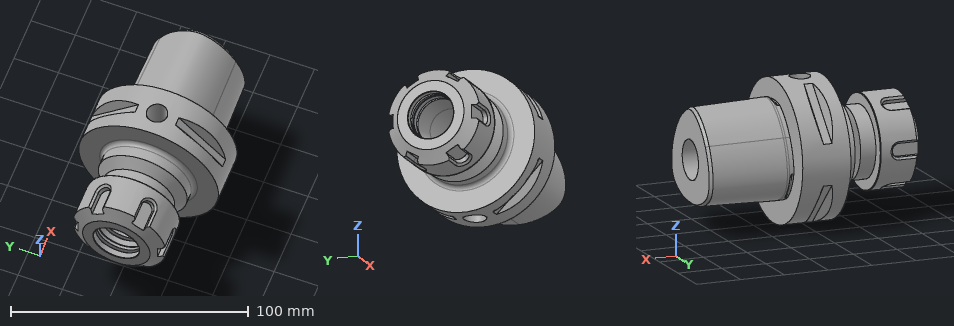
import cadquery as cq
import math

NOSE_X = -60.0
NUT_BACK_X = -40.0
NECK_END_X = -33.0
SHOULDER_END_X = -28.8
FLANGE_WIDTH = 22.0
FLANGE_FRONT_X = -FLANGE_WIDTH
SHANK_LENGTH = 38.0

NUT_DIAMETER = 42.0
NOSE_DIAMETER = 30.38
NOSE_CONE_ANGLE = 60.0
NUT_BACK_CHAMFER = 0.3
WRENCH_SLOT_COUNT = 6
WRENCH_SLOT_WIDTH = 6.0
WRENCH_SLOT_FLOOR = 17.9
WRENCH_SLOT_CENTER_X = NOSE_X + 11.2
WRENCH_SLOT_CHAMFER = 1.0
FIRST_WRENCH_SLOT_ANGLE = 90.0
RIM_BAND = 0.5
RIM_MARGIN = 0.1

NECK_DIAMETER = 32.0
COLLAR_DIAMETER = 40.0
COLLAR_FILLET = 2.0

FLANGE_DIAMETER = 63.0
GRIP_SLOT_COUNT = 4
GRIP_SLOT_FLOOR = 27.75
GRIP_SLOT_FLOOR_WIDTH = 3.8
GRIP_SLOT_WALL_ANGLE = 28.0
FIRST_GRIP_SLOT_ANGLE = 45.0
GRIP_CENTER_X = -12.0
UPPER_HOLE_DIAMETER = 9.0
LOWER_HOLE_DIAMETER = 10.0
HOLE_FLOOR_DIAMETER = 25.75
HOLE_FLOOR_START_X = -15.8
HOLE_FLOOR_CHAMFER = 0.7

SHANK_DIAMETER = 44.0
LOBE_COUNT = 3
LOBE_HEIGHT = 1.55
CURVE_STEPS = 12
SHANK_TAPER = 1 / 20
STRAIGHT_LENGTH = 2.0
TAPER_START_X = 3.0
END_CHAMFER_LENGTH = 1.4
END_CHAMFER_DEPTH = 0.9
UNDERCUT_RADIUS = 22.5
UNDERCUT_FLAT_LENGTH = 0.9
UNDERCUT_ARC_RADIUS = 1.1

MOUTH_DIAMETER = 20.7
MOUTH_CHAMFER = 0.2
BORE_STEP_START = 5.8
BORE_STEP_LENGTH = 0.2
SEAT_CONE_ANGLE = 8.0
SEAT_DIAMETER = 20.3
SEAT_START = 10.3
BORE_DIAMETER = 17.5
BORE_GROOVES = [(2.9, 4.4, 25.75), (8.9, 10.3, 25.75)]


def cylinder(diameter, start_x, end_x):
    return cq.Workplane("YZ", origin=(start_x, 0, 0)).circle(diameter / 2).extrude(end_x - start_x)


def revolve_about_x(profile):
    return profile.close().revolve(360, (0, 0, 0), (1, 0, 0))


def is_slot_rim(edge, start_x, end_x):
    """Tell whether an edge lies near the nut's barrel, strictly between two axial stations."""
    middle = edge.Center()
    distance = math.hypot(middle.y, middle.z)
    return start_x < middle.x - RIM_MARGIN and middle.x < end_x and distance > NUT_DIAMETER / 2 - RIM_BAND


def make_nut():
    radius = NUT_DIAMETER / 2
    nose_radius = NOSE_DIAMETER / 2
    cone_length = (radius - nose_radius) / math.tan(math.radians(NOSE_CONE_ANGLE))
    nut = revolve_about_x(
        cq.Workplane("XY")
        .moveTo(NOSE_X, 0)
        .lineTo(NOSE_X, nose_radius)
        .lineTo(NOSE_X + cone_length, radius)
        .lineTo(NUT_BACK_X - NUT_BACK_CHAMFER, radius)
        .lineTo(NUT_BACK_X, radius - NUT_BACK_CHAMFER)
        .lineTo(NUT_BACK_X, 0)
    )
    slot_front = NOSE_X - WRENCH_SLOT_WIDTH
    slot_end = WRENCH_SLOT_CENTER_X + WRENCH_SLOT_WIDTH / 2
    slot_length = WRENCH_SLOT_CENTER_X - slot_front
    slot = (
        cq.Workplane("XY", origin=(0, 0, WRENCH_SLOT_FLOOR))
        .center(slot_front + slot_length / 2, 0)
        .slot2D(slot_length + WRENCH_SLOT_WIDTH, WRENCH_SLOT_WIDTH)
        .extrude(radius)
    )
    for index in range(WRENCH_SLOT_COUNT):
        angle = FIRST_WRENCH_SLOT_ANGLE + index * 360 / WRENCH_SLOT_COUNT
        nut = nut.cut(slot.rotate((0, 0, 0), (1, 0, 0), angle))
    rims = nut.edges().filter(lambda edge: is_slot_rim(edge, NOSE_X + cone_length, slot_end))
    return rims.chamfer(WRENCH_SLOT_CHAMFER)


def make_front_body():
    neck_radius = NECK_DIAMETER / 2
    collar_radius = COLLAR_DIAMETER / 2
    fillet_start_x = FLANGE_FRONT_X - COLLAR_FILLET
    diagonal = COLLAR_FILLET * math.sqrt(0.5)
    return revolve_about_x(
        cq.Workplane("XY")
        .moveTo(NUT_BACK_X, 0)
        .lineTo(NUT_BACK_X, neck_radius)
        .lineTo(NECK_END_X, neck_radius)
        .lineTo(SHOULDER_END_X, collar_radius)
        .lineTo(fillet_start_x, collar_radius)
        .threePointArc(
            (fillet_start_x + diagonal, collar_radius + COLLAR_FILLET - diagonal),
            (FLANGE_FRONT_X, collar_radius + COLLAR_FILLET),
        )
        .lineTo(FLANGE_FRONT_X, 0)
    )


def make_flange():
    flange = cylinder(FLANGE_DIAMETER, FLANGE_FRONT_X, 0)
    top = FLANGE_DIAMETER / 2
    floor_half = GRIP_SLOT_FLOOR_WIDTH / 2
    top_half = floor_half + (top - GRIP_SLOT_FLOOR) * math.tan(math.radians(GRIP_SLOT_WALL_ANGLE))
    slot = (
        cq.Workplane("XZ", origin=(GRIP_CENTER_X, 0, 0))
        .moveTo(-floor_half, GRIP_SLOT_FLOOR)
        .lineTo(floor_half, GRIP_SLOT_FLOOR)
        .lineTo(top_half, top)
        .lineTo(-top_half, top)
        .close()
        .extrude(FLANGE_DIAMETER / 2, both=True)
    )
    for index in range(GRIP_SLOT_COUNT):
        angle = FIRST_GRIP_SLOT_ANGLE + index * 360 / GRIP_SLOT_COUNT
        flange = flange.cut(slot.rotate((0, 0, 0), (1, 0, 0), angle))
    return flange.cut(make_radial_holes())


def make_radial_holes():
    """Holes toward +Z and -Z, ending on a cylinder about X that is bevelled at its front end."""
    floor = cylinder(HOLE_FLOOR_DIAMETER, HOLE_FLOOR_START_X - HOLE_FLOOR_CHAMFER, 0)
    floor = floor.faces("<X").chamfer(HOLE_FLOOR_CHAMFER)
    reach = FLANGE_DIAMETER / 2
    center = cq.Workplane("XY", origin=(GRIP_CENTER_X, 0, 0))
    upper = center.circle(UPPER_HOLE_DIAMETER / 2).extrude(reach)
    lower = center.circle(LOWER_HOLE_DIAMETER / 2).extrude(-reach)
    return upper.union(lower).cut(floor)


def lobed_outline_point(x, radius, angle):
    """Point of the constant-width outline whose normal has the given angle from +Y; one lobe is at +Z."""
    support = radius - LOBE_HEIGHT * math.sin(LOBE_COUNT * angle)
    slope = -LOBE_COUNT * LOBE_HEIGHT * math.cos(LOBE_COUNT * angle)
    y = support * math.cos(angle) - slope * math.sin(angle)
    z = support * math.sin(angle) + slope * math.cos(angle)
    return cq.Vector(x, y, z)


def lobed_section(x, radius):
    """Closed outline made of one curve per lobe, the curves meeting on the flats between the lobes."""
    lobe_span = 2 * math.pi / LOBE_COUNT
    first_flat = lobe_span / 4
    edges = []
    for lobe in range(LOBE_COUNT):
        start = first_flat + lobe * lobe_span
        points = []
        for step in range(CURVE_STEPS + 1):
            points.append(lobed_outline_point(x, radius, start + lobe_span * step / CURVE_STEPS))
        edges.append(cq.Edge.makeSpline(points))
    return cq.Wire.assembleEdges(edges)


def make_shank():
    radius = SHANK_DIAMETER / 2
    chamfer_x = SHANK_LENGTH - END_CHAMFER_LENGTH
    small_radius = radius - (chamfer_x - TAPER_START_X) * SHANK_TAPER / 2
    stations = [
        (0, radius),
        (STRAIGHT_LENGTH, radius),
        (TAPER_START_X, radius),
        (chamfer_x, small_radius),
        (SHANK_LENGTH, small_radius - END_CHAMFER_DEPTH),
    ]
    sections = [lobed_section(x, size) for x, size in stations]
    shank = cq.Workplane(cq.Solid.makeLoft(sections, True))

    clear_radius = radius + 2 * LOBE_HEIGHT
    arc_end_x = UNDERCUT_FLAT_LENGTH + UNDERCUT_ARC_RADIUS
    arc_end_radius = UNDERCUT_RADIUS + UNDERCUT_ARC_RADIUS
    diagonal = UNDERCUT_ARC_RADIUS * math.sqrt(0.5)
    undercut = revolve_about_x(
        cq.Workplane("XY")
        .moveTo(0, UNDERCUT_RADIUS)
        .lineTo(UNDERCUT_FLAT_LENGTH, UNDERCUT_RADIUS)
        .threePointArc(
            (UNDERCUT_FLAT_LENGTH + diagonal, arc_end_radius - diagonal),
            (arc_end_x, arc_end_radius),
        )
        .lineTo(arc_end_x, clear_radius)
        .lineTo(0, clear_radius)
    )
    return shank.cut(undercut)


def make_bore():
    mouth_radius = MOUTH_DIAMETER / 2
    seat_radius = SEAT_DIAMETER / 2
    bore_radius = BORE_DIAMETER / 2
    step_x = NOSE_X + BORE_STEP_START
    seat_x = NOSE_X + SEAT_START
    seat_length = (seat_radius - bore_radius) / math.tan(math.radians(SEAT_CONE_ANGLE))
    bore = revolve_about_x(
        cq.Workplane("XY")
        .moveTo(NOSE_X, 0)
        .lineTo(NOSE_X, mouth_radius + MOUTH_CHAMFER)
        .lineTo(NOSE_X + MOUTH_CHAMFER, mouth_radius)
        .lineTo(step_x, mouth_radius)
        .lineTo(step_x + BORE_STEP_LENGTH, seat_radius)
        .lineTo(seat_x, seat_radius)
        .lineTo(seat_x + seat_length, bore_radius)
        .lineTo(SHANK_LENGTH, bore_radius)
        .lineTo(SHANK_LENGTH, 0)
    )
    for start, end, diameter in BORE_GROOVES:
        bore = bore.union(cylinder(diameter, NOSE_X + start, NOSE_X + end))
    return bore


body = make_nut().union(make_front_body()).union(make_flange()).union(make_shank())
result = body.cut(make_bore())